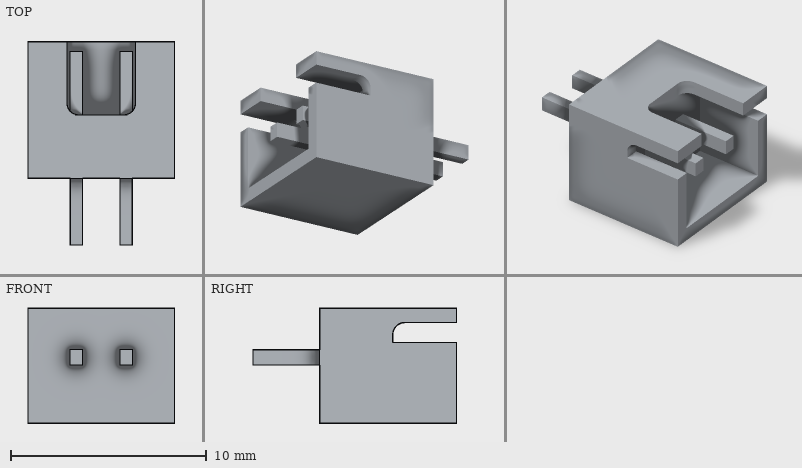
import cadquery as cq

BODY_X = 7.5
BODY_Y = 7.0
BODY_Z = 5.9
WALL = 0.75
CAVITY_DEPTH = 3.75

NOTCH_WIDTH = 3.5
NOTCH_RADIUS = 0.6

SLOT_DEPTH = 3.25
SLOT_HEIGHT = 1.0
SLOT_RADIUS = 0.6

PIN_COUNT = 2
PIN_PITCH = 2.54
PIN_WIDTH = 0.64
PIN_HEIGHT = 0.8
PIN_BELOW_TOP = 2.52
PIN_TAIL = 3.4
PIN_RECESS = 0.5

TOP_Z = BODY_Z / 2
OPEN_Y = BODY_Y / 2
BACK_Y = -BODY_Y / 2


def box_between(x_range, y_range, z_range):
    """Axis-aligned box given by its (low, high) limits on each axis."""
    limits = (x_range, y_range, z_range)
    sizes = [high - low for low, high in limits]
    corner = tuple(low for low, high in limits)
    return cq.Workplane("XY").box(*sizes, centered=False).translate(corner)


def make_cavity():
    half_x = BODY_X / 2 - WALL
    half_z = BODY_Z / 2 - WALL
    return box_between((-half_x, half_x), (OPEN_Y - CAVITY_DEPTH, OPEN_Y), (-half_z, half_z))


def make_notch():
    """Top-wall notch with both inner corners rounded; its end is flush with the cavity floor."""
    half_x = NOTCH_WIDTH / 2
    notch = box_between((-half_x, half_x), (OPEN_Y - CAVITY_DEPTH, OPEN_Y), (TOP_Z - WALL, TOP_Z))
    return notch.edges("|Z and <Y").fillet(NOTCH_RADIUS)


def make_side_slot():
    """Slot across the full width with its upper inner corner rounded."""
    half_x = BODY_X / 2
    slot_top = TOP_Z - WALL
    slot = box_between(
        (-half_x, half_x), (OPEN_Y - SLOT_DEPTH, OPEN_Y), (slot_top - SLOT_HEIGHT, slot_top)
    )
    return slot.edges("|X and <Y and >Z").fillet(SLOT_RADIUS)


def make_pin(x_center):
    z_center = TOP_Z - PIN_BELOW_TOP
    return box_between(
        (x_center - PIN_WIDTH / 2, x_center + PIN_WIDTH / 2),
        (BACK_Y - PIN_TAIL, OPEN_Y - PIN_RECESS),
        (z_center - PIN_HEIGHT / 2, z_center + PIN_HEIGHT / 2),
    )


housing = cq.Workplane("XY").box(BODY_X, BODY_Y, BODY_Z)
housing = housing.cut(make_cavity()).cut(make_notch()).cut(make_side_slot())

result = housing
for index in range(PIN_COUNT):
    result = result.union(make_pin((index - (PIN_COUNT - 1) / 2) * PIN_PITCH))